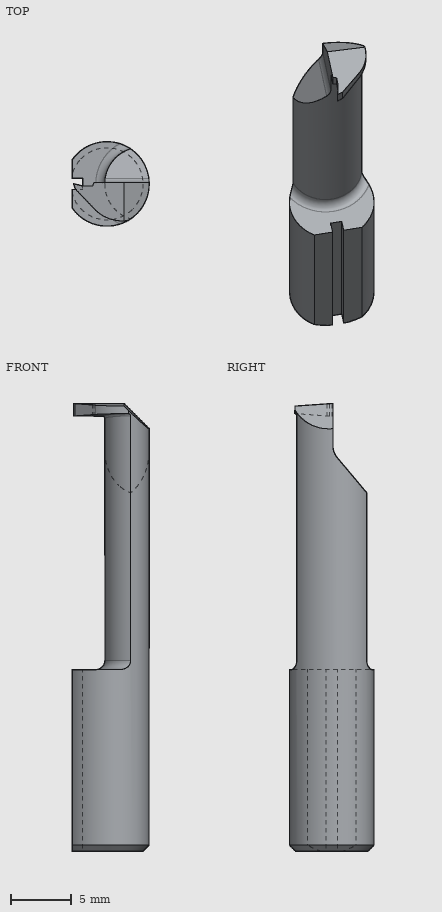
import cadquery as cq
import math

total_length = 37.0
shank_diameter = 7.0
shank_radius = shank_diameter / 2
shank_length = 15.02
width_across_flat = 6.35
flat_x = shank_radius - width_across_flat
end_chamfer = 0.5
slot_width = 0.92
slot_floor_x = -2.0

neck_axis_x = 2.85
neck_radius = 3.05
neck_fillet = 0.75

rake_face_y = 0.1
ramp_angle = 50.0
ramp_corner_z = 32.93
ramp_fillet = 1.48

head_bottom_z = 35.93
head_relief = 4.0
head_blend = 0.2
corner_bevel_start_x = 1.4
tip_x = -2.78
tip_y = 0.05
tip_flank_x = -2.63
tip_flank_y = -0.4
flank_end_x = -0.92
flank_end_y = -2.2
back_arc_mid_x = 0.22
back_arc_mid_y = -2.9
back_end_x = 1.78
chip_groove_y = -0.2
chip_groove_start_x = -1.92
chip_groove_end_x = -1.2
chip_groove_exit_x = -1.07

margin = 3.7


def on_shank(x):
    """Distance from the X axis to the shank circle at x."""
    return math.sqrt(shank_radius**2 - x**2)


def make_shank():
    shank = cq.Workplane("XY").circle(shank_radius).extrude(shank_length)
    shank = shank.faces("<Z").chamfer(end_chamfer)
    beyond_flat = (
        cq.Workplane("XY")
        .box(margin, 2 * shank_radius, shank_length, centered=(False, True, False))
        .translate((flat_x - margin, 0, 0))
    )
    slot = (
        cq.Workplane("XY")
        .box(margin, slot_width, shank_length, centered=(False, True, False))
        .translate((slot_floor_x - margin, 0, 0))
    )
    return shank.cut(beyond_flat).cut(slot)


def make_neck():
    """Neck with its root fillet, trimmed to the shank cylinder."""
    fillet_mid = neck_fillet * (1 - math.sqrt(0.5))
    neck = (
        cq.Workplane("XZ")
        .moveTo(0, shank_length)
        .lineTo(neck_radius + neck_fillet, shank_length)
        .threePointArc(
            (neck_radius + fillet_mid, shank_length + fillet_mid),
            (neck_radius, shank_length + neck_fillet),
        )
        .lineTo(neck_radius, total_length)
        .lineTo(0, total_length)
        .close()
        .revolve(360, (0, 0, 0), (0, 1, 0))
        .translate((neck_axis_x, 0, 0))
    )
    envelope = cq.Workplane("XY").circle(shank_radius).extrude(total_length)
    return neck.intersect(envelope).cut(make_ramp_relief())


def make_ramp_relief():
    """Space behind the rake face, running out along a sloping ramp."""
    run = shank_radius + margin
    ramp_end_z = ramp_corner_z - run * math.tan(math.radians(ramp_angle))
    return (
        cq.Workplane("YZ")
        .moveTo(rake_face_y, total_length + margin)
        .lineTo(rake_face_y, ramp_corner_z)
        .lineTo(rake_face_y + run, ramp_end_z)
        .lineTo(rake_face_y + run, total_length + margin)
        .close()
        .extrude(shank_radius + margin, both=True)
        .edges(cq.selectors.NearestToPointSelector((0, rake_face_y, ramp_corner_z)))
        .fillet(ramp_fillet)
    )


def make_head():
    """Hooked cutting head whose underside rises away from the rake face."""
    head = (
        cq.Workplane("XY")
        .workplane(offset=head_bottom_z)
        .moveTo(tip_x, tip_y)
        .lineTo(tip_flank_x, tip_flank_y)
        .lineTo(flank_end_x, flank_end_y)
        .threePointArc((back_arc_mid_x, back_arc_mid_y), (back_end_x, -on_shank(back_end_x)))
        .threePointArc((shank_radius, 0), (on_shank(rake_face_y), rake_face_y))
        .lineTo(chip_groove_exit_x, rake_face_y)
        .lineTo(chip_groove_end_x, chip_groove_y)
        .lineTo(chip_groove_start_x, chip_groove_y)
        .close()
        .extrude(total_length - head_bottom_z)
    )
    length = shank_radius + margin
    rise = length * math.tan(math.radians(head_relief))
    underside = (
        cq.Workplane("YZ")
        .moveTo(rake_face_y, head_bottom_z)
        .lineTo(rake_face_y - length, head_bottom_z)
        .lineTo(rake_face_y - length, head_bottom_z + rise)
        .close()
        .extrude(length, both=True)
    )
    return head.cut(underside)


def make_top_envelope():
    """Space below the top face and the 45 degree corner bevel, both relieved toward -Y."""
    bevel_run = shank_radius + margin - corner_bevel_start_x
    depth = 2 * (shank_radius + margin)
    drop = depth * math.tan(math.radians(head_relief))
    profile = (
        cq.Workplane("XZ", origin=(0, rake_face_y, 0))
        .moveTo(-shank_radius - margin, -margin)
        .lineTo(-shank_radius - margin, total_length)
        .lineTo(corner_bevel_start_x, total_length)
        .lineTo(corner_bevel_start_x + bevel_run, total_length - bevel_run)
        .lineTo(corner_bevel_start_x + bevel_run, -margin)
        .close()
    )
    relieved_path = cq.Vector(0, -depth, -drop)
    face = cq.Face.makeFromWires(profile.val())
    return cq.Workplane(cq.Solid.extrudeLinear(face, relieved_path))


def make_upper():
    """Neck and head, blended together and cut to the relieved top in front of the rake face."""
    upper = make_neck().union(make_head())
    neck_side_x = neck_axis_x - neck_radius
    joint = cq.selectors.NearestToPointSelector((neck_side_x, flank_end_y / 2, head_bottom_z))
    upper = upper.edges(joint).fillet(head_blend)
    in_front = (
        cq.Workplane("XY")
        .box(4 * shank_radius, 2 * margin, 2 * total_length, centered=(True, False, False))
        .translate((0, rake_face_y - 2 * margin, 0))
    )
    return upper.cut(in_front.cut(make_top_envelope()))


result = make_shank().union(make_upper()).clean()